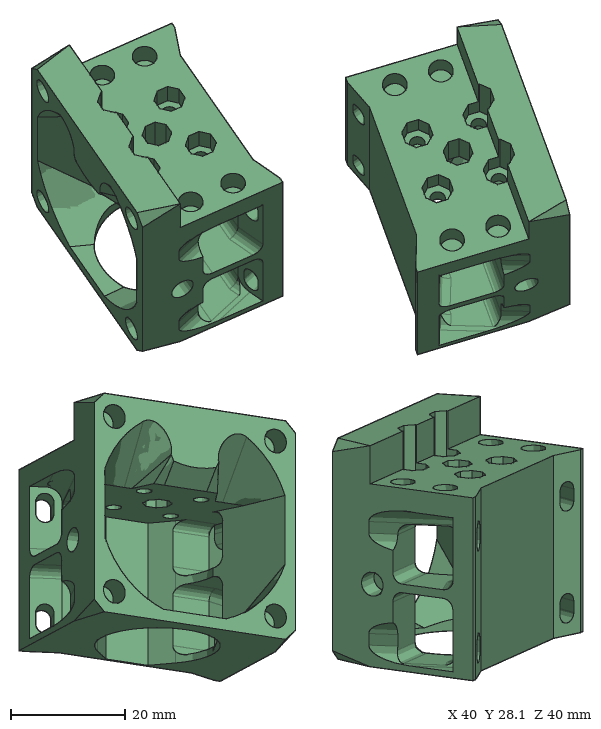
import cadquery as cq
import math

WIDTH = 40.0
DEPTH = 28.13
HEIGHT = 40.0
FLANGE_DEPTH = 7.57
BLOCK_TOP = 33.1
CORNER_CUT = 2.0

REAR_SUNK_Y = 26.0
REAR_SLOPE = math.radians(20.0)
SHOULDER_INNER_X = 13.1
SHOULDER_OUTER_X = SHOULDER_INNER_X + (DEPTH - REAR_SUNK_Y) / math.tan(REAR_SLOPE)

BORE_Y = 14.0
BORE_RADIUS = 11.0
BORE_FLAT_Y = 25.4
CEILING_Z = 26.0

FAN_Z = HEIGHT / 2
FAN_RADIUS = 18.95
DUCT_FLOOR_Z = 2.1
DUCT_MOUTH_X = 17.87
DUCT_THROAT_X = BORE_RADIUS
DUCT_THROAT_Y = BORE_Y
DUCT_THROAT_FLAT_X = 3.5
DUCT_THROAT_FLOOR_Z = -1.5
DUCT_THROAT_CORNER_Z = 0.6

LOBE_SHOULDER_X = 10.26
LOBE_TIP = (8.8, 36.3)
LOBE_FLANK = (5.6, 34.2)
LOBE_FOOT = (4.74, 30.6)
LOBE_DEPTH = 8.0
LOBE_END_X = 8.3
ARCH_END = (4.2, 29.5)
ARCH_MID_Z = 28.9
ARCH_DEPTH = 3.5
ARCH_END_HALF_WIDTH = 7.2
DUCT_OVERLAP_Z = CEILING_Z - 1.0

WINDOW_FRONT_Y = 12.13
WINDOW_REAR_Y = 22.15
WINDOW_RADIUS = 1.9
WINDOW_Z_RANGES = [(1.3, 14.2), (15.75, CEILING_Z)]
POCKET_INNER_X = 14.6

SLOT_X = 17.45
SLOT_Z_LEVELS = [4.95, 25.2]
SLOT_TRAVEL = 2.1
SLOT_DIAMETER = 3.2
SLOT_HEAD_DIAMETER = 5.5
SLOT_REACH = 8.0
HEAD_REACH = 25.0

OCTAGON_SIDES = 8
CENTRE_HOLE_FLATS = 4.8
SCREW_PITCH_RADIUS = 8.0
SCREW_DIAMETER = 2.75
NUT_FLATS = 5.05
NUT_FLOOR_Z = 29.0

INSERT_DIAMETER = 4.3
INSERT_DEPTH = 4.5
FAN_HOLE_OFFSET = 16.0
TOP_INSERT_X = 15.95
TOP_INSERT_Y = [11.9, 20.4]
TOP_INSERT_DEPTH = 4.0
SIDE_INSERT_Y = 8.0
SIDE_INSERT_Z = 15.0

SIDES = (-1, 1)


def box(x_range, y_range, z_range):
    size = [high - low for low, high in (x_range, y_range, z_range)]
    return cq.Workplane("XY").box(*size, centered=False).translate((x_range[0], y_range[0], z_range[0]))


def cylinder(start, direction, diameter, length):
    return cq.Workplane(cq.Solid.makeCylinder(diameter / 2, length, cq.Vector(*start), cq.Vector(*direction)))


def fan_circle_z(x):
    """Height above the fan axis of the fan opening circle at a given x."""
    return math.sqrt(FAN_RADIUS**2 - x**2)


def ruled_loft(front, rear, depth):
    """Ruled solid between an outline on y = 0 and one at the given depth."""
    wires = [front.val(), rear.val().translate(cq.Vector(0, depth, 0))]
    return cq.Workplane(cq.Solid.makeLoft(wires, True))


def body():
    half = WIDTH / 2
    block = (
        cq.Workplane("XY")
        .polyline([
            (-half, 0),
            (half, 0),
            (half, DEPTH),
            (SHOULDER_OUTER_X, DEPTH),
            (SHOULDER_INNER_X, REAR_SUNK_Y),
            (-SHOULDER_INNER_X, REAR_SUNK_Y),
            (-SHOULDER_OUTER_X, DEPTH),
            (-half, DEPTH),
        ])
        .close()
        .extrude(BLOCK_TOP)
    )
    return block.union(box((-half, half), (0, FLANGE_DEPTH), (0, HEIGHT)))


def corner_cuts():
    """Sloped cuts on the flange corners, fading out at the back of the flange."""
    cuts = []
    for side in SIDES:
        for z, up in ((0, -1), (HEIGHT, 1)):
            corner = (side * WIDTH / 2, FLANGE_DEPTH, z)
            normal = (side, -CORNER_CUT / FLANGE_DEPTH, up)
            plane = cq.Plane(origin=corner, xDir=(up, 0, -side), normal=normal)
            cuts.append(cq.Workplane(plane).rect(WIDTH / 2, WIDTH / 2).extrude(CORNER_CUT * 2))
    return cuts


def bore():
    tangent = BORE_RADIUS / math.sqrt(2)
    flat_half_width = BORE_Y + BORE_RADIUS * math.sqrt(2) - BORE_FLAT_Y
    return (
        cq.Workplane("XY")
        .moveTo(-flat_half_width, BORE_FLAT_Y)
        .lineTo(flat_half_width, BORE_FLAT_Y)
        .lineTo(tangent, BORE_Y + tangent)
        .threePointArc((0, BORE_Y - BORE_RADIUS), (-tangent, BORE_Y + tangent))
        .close()
        .extrude(CEILING_Z)
    )


def lower_duct():
    flat_x = math.sqrt(FAN_RADIUS**2 - (FAN_Z - DUCT_FLOOR_Z) ** 2)
    corner_z = FAN_Z - fan_circle_z(DUCT_MOUTH_X)
    middle_x = (flat_x + DUCT_MOUTH_X) / 2
    middle_z = FAN_Z - fan_circle_z(middle_x)
    mouth = (
        cq.Workplane("XZ")
        .moveTo(-flat_x, DUCT_FLOOR_Z)
        .lineTo(flat_x, DUCT_FLOOR_Z)
        .threePointArc((middle_x, middle_z), (DUCT_MOUTH_X, corner_z))
        .lineTo(DUCT_MOUTH_X, CEILING_Z)
        .lineTo(-DUCT_MOUTH_X, CEILING_Z)
        .lineTo(-DUCT_MOUTH_X, corner_z)
        .threePointArc((-middle_x, middle_z), (-flat_x, DUCT_FLOOR_Z))
        .wire()
    )
    throat = (
        cq.Workplane("XZ")
        .moveTo(-DUCT_THROAT_FLAT_X, DUCT_THROAT_FLOOR_Z)
        .lineTo(DUCT_THROAT_FLAT_X, DUCT_THROAT_FLOOR_Z)
        .lineTo(DUCT_THROAT_X, DUCT_THROAT_CORNER_Z)
        .lineTo(DUCT_THROAT_X, CEILING_Z)
        .lineTo(-DUCT_THROAT_X, CEILING_Z)
        .lineTo(-DUCT_THROAT_X, DUCT_THROAT_CORNER_Z)
        .lineTo(-DUCT_THROAT_FLAT_X, DUCT_THROAT_FLOOR_Z)
        .wire()
    )
    return ruled_loft(mouth, throat, DUCT_THROAT_Y)


def lobe():
    """Lobe on the +X side, closing to a thin strip under the bore ceiling."""
    corner_z = FAN_Z + fan_circle_z(DUCT_MOUTH_X)
    middle_x = (DUCT_MOUTH_X + LOBE_SHOULDER_X) / 2
    shoulder = (LOBE_SHOULDER_X, FAN_Z + fan_circle_z(LOBE_SHOULDER_X))
    mouth = (
        cq.Workplane("XZ")
        .moveTo(LOBE_FOOT[0], DUCT_OVERLAP_Z)
        .lineTo(DUCT_MOUTH_X, DUCT_OVERLAP_Z)
        .lineTo(DUCT_MOUTH_X, corner_z)
        .threePointArc((middle_x, FAN_Z + fan_circle_z(middle_x)), shoulder)
        .spline([LOBE_TIP, LOBE_FLANK, LOBE_FOOT], includeCurrent=True)
        .close()
        .wire()
    )
    wall_taper = (DUCT_MOUTH_X - DUCT_THROAT_X) / DUCT_THROAT_Y
    outer_x = DUCT_MOUTH_X - wall_taper * LOBE_DEPTH
    crease_x = LOBE_END_X + LOBE_SHOULDER_X - LOBE_TIP[0]
    strip = (
        cq.Workplane("XZ")
        .moveTo(LOBE_END_X, DUCT_OVERLAP_Z)
        .lineTo(outer_x, DUCT_OVERLAP_Z)
        .lineTo(outer_x, CEILING_Z)
        .lineTo(crease_x, CEILING_Z)
        .lineTo(LOBE_END_X, CEILING_Z)
        .close()
        .wire()
    )
    return ruled_loft(mouth, strip, LOBE_DEPTH)


def arch():
    """Low ramp between the lobes, rising from the bore ceiling to the fan face."""
    foot_x, foot_z = LOBE_FOOT
    end_x, end_z = ARCH_END
    mouth = (
        cq.Workplane("XZ")
        .moveTo(-foot_x, DUCT_OVERLAP_Z)
        .lineTo(foot_x, DUCT_OVERLAP_Z)
        .lineTo(foot_x, foot_z)
        .lineTo(end_x, end_z)
        .threePointArc((0, ARCH_MID_Z), (-end_x, end_z))
        .lineTo(-foot_x, foot_z)
        .close()
        .wire()
    )
    strip_x = [ARCH_END_HALF_WIDTH, end_x, -end_x, -ARCH_END_HALF_WIDTH]
    strip = (
        cq.Workplane("XZ")
        .moveTo(-ARCH_END_HALF_WIDTH, DUCT_OVERLAP_Z)
        .lineTo(ARCH_END_HALF_WIDTH, DUCT_OVERLAP_Z)
        .polyline([(x, CEILING_Z) for x in strip_x], includeCurrent=True)
        .close()
        .wire()
    )
    return ruled_loft(mouth, strip, ARCH_DEPTH)


def side_window(bottom, top):
    """Through window whose rear wall turns outwards behind each side face."""
    half = WIDTH / 2
    outer_rear_y = WINDOW_REAR_Y + (half - POCKET_INNER_X) * math.tan(REAR_SLOPE)
    window = (
        cq.Workplane("XY", origin=(0, 0, bottom))
        .polyline([
            (-half, WINDOW_FRONT_Y),
            (half, WINDOW_FRONT_Y),
            (half, outer_rear_y),
            (POCKET_INNER_X, WINDOW_REAR_Y),
            (-POCKET_INNER_X, WINDOW_REAR_Y),
            (-half, outer_rear_y),
        ])
        .close()
        .extrude(top - bottom)
    )
    return window.edges("not |Z").edges("not (<X or >X)").fillet(WINDOW_RADIUS)


def slot_plane(side, x, z):
    """Plane on the sloped rear wall at the given distance from the middle, facing forward."""
    return cq.Plane(
        origin=(side * x, WINDOW_REAR_Y + (x - POCKET_INNER_X) * math.tan(REAR_SLOPE), z),
        xDir=(0, 0, 1),
        normal=(side * math.sin(REAR_SLOPE), -math.cos(REAR_SLOPE), 0),
    )


def screw_slot(side, z):
    plane = slot_plane(side, SLOT_X, z)
    slot_length = SLOT_TRAVEL + SLOT_DIAMETER
    slot = cq.Workplane(plane).slot2D(slot_length, SLOT_DIAMETER).extrude(SLOT_REACH, both=True)

    head_plane = slot_plane(side, POCKET_INNER_X + SLOT_HEAD_DIAMETER / 2 * math.cos(REAR_SLOPE), z)
    head_length = SLOT_TRAVEL + SLOT_HEAD_DIAMETER
    head = cq.Workplane(head_plane).slot2D(head_length, SLOT_HEAD_DIAMETER).extrude(HEAD_REACH)
    outward = cq.Workplane(head_plane).center(0, -side * HEAD_REACH / 2).rect(head_length, HEAD_REACH)
    return slot.union(head).union(outward.extrude(HEAD_REACH))


def screw_slots():
    return [screw_slot(side, z) for side in SIDES for z in SLOT_Z_LEVELS]


def octagon(x, y, flats, bottom):
    return (
        cq.Workplane("XY", origin=(x, y, bottom))
        .transformed(rotate=(0, 0, 180 / OCTAGON_SIDES))
        .polygon(OCTAGON_SIDES, flats / math.cos(math.pi / OCTAGON_SIDES))
        .extrude(HEIGHT - bottom)
    )


def top_plate_holes():
    offset = SCREW_PITCH_RADIUS / math.sqrt(2)
    screw_length = BLOCK_TOP - DUCT_OVERLAP_Z
    cuts = [octagon(0, BORE_Y, CENTRE_HOLE_FLATS, DUCT_OVERLAP_Z)]
    for x in (-offset, offset):
        for y in (BORE_Y - offset, BORE_Y + offset):
            cuts.append(octagon(x, y, NUT_FLATS, NUT_FLOOR_Z))
            cuts.append(cylinder((x, y, DUCT_OVERLAP_Z), (0, 0, 1), SCREW_DIAMETER, screw_length))
    return cuts


def insert_holes():
    cuts = []
    for side in SIDES:
        for up in SIDES:
            start = (side * FAN_HOLE_OFFSET, 0, FAN_Z + up * FAN_HOLE_OFFSET)
            cuts.append(cylinder(start, (0, 1, 0), INSERT_DIAMETER, INSERT_DEPTH))
        for y in TOP_INSERT_Y:
            start = (side * TOP_INSERT_X, y, BLOCK_TOP)
            cuts.append(cylinder(start, (0, 0, -1), INSERT_DIAMETER, TOP_INSERT_DEPTH))
        start = (side * WIDTH / 2, SIDE_INSERT_Y, SIDE_INSERT_Z)
        cuts.append(cylinder(start, (-side, 0, 0), INSERT_DIAMETER, INSERT_DEPTH))
    return cuts


cutters = [bore(), lower_duct(), arch(), lobe(), lobe().mirror("YZ")]
cutters += [side_window(bottom, top) for bottom, top in WINDOW_Z_RANGES]
cutters += screw_slots() + top_plate_holes() + insert_holes() + corner_cuts()

result = body()
for cutter in cutters:
    result = result.cut(cutter)